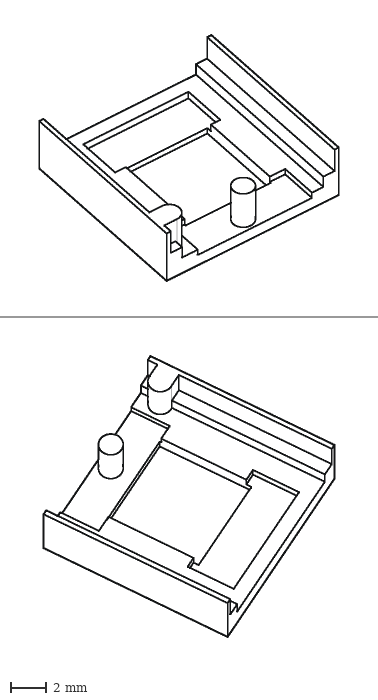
import cadquery as cq

length = 12.0
width = 12.2
height = 3.6

floor_top = 1.2
ledge_top = 1.98
pin_top = 3.32

wall_thickness = 0.3
ledge_width = 1.1

end_pocket_depth = 0.5
end_pocket_x = (-5.08, -2.07)
end_pocket_y = (-3.67, 3.78)
center_pocket_depth = 0.9
center_pocket_x = (-2.4, 3.57)
center_pocket_y = (-2.92, 3.11)
open_pocket_depth = 0.4
open_pocket_x = (3.48, length / 2)
open_pocket_y = (-3.89, 4.2)

pin_diameter = 1.4
pin_x = 5.1
post_x = 4.67
post_nose_y = -4.9


def block(x_range, y_range, z_range):
    """Box spanning the given ranges."""
    sizes = [high - low for low, high in (x_range, y_range, z_range)]
    corner = cq.Vector(x_range[0], y_range[0], z_range[0])
    return cq.Workplane("XY").box(*sizes, centered=False).translate(corner)


def tray():
    """Stepped tray section extruded along X."""
    outer = width / 2
    wall_inner = outer - wall_thickness
    ledge_inner = outer - ledge_width
    half_section = [
        (outer, 0),
        (outer, height),
        (wall_inner, height),
        (wall_inner, ledge_top),
        (ledge_inner, ledge_top),
        (ledge_inner, floor_top),
    ]
    mirrored = [(-y, z) for y, z in reversed(half_section)]
    section = cq.Workplane("YZ").polyline(half_section + mirrored).close()
    return section.extrude(length / 2, both=True)


def pocket(x_range, y_range, depth):
    """Rectangular cutter sunk from the floor surface."""
    return block(x_range, y_range, (floor_top - depth, floor_top))


def cylinder(x, y, bottom, top):
    """Upright cylinder of the pin diameter."""
    base = cq.Workplane("XY").workplane(offset=bottom).center(x, y)
    return base.circle(pin_diameter / 2).extrude(top - bottom)


def post():
    """Full-height post reaching from the -Y wall to a round nose."""
    radius = pin_diameter / 2
    nose = cylinder(post_x, post_nose_y, floor_top, height)
    web = block(
        (post_x - radius, post_x + radius),
        (-width / 2, post_nose_y),
        (floor_top, height),
    )
    return nose.union(web)


result = tray()
result = result.cut(pocket(end_pocket_x, end_pocket_y, end_pocket_depth))
result = result.cut(pocket(center_pocket_x, center_pocket_y, center_pocket_depth))
result = result.cut(pocket(open_pocket_x, open_pocket_y, open_pocket_depth))

result = result.union(cylinder(pin_x, 0, floor_top - open_pocket_depth, pin_top))
result = result.union(post())